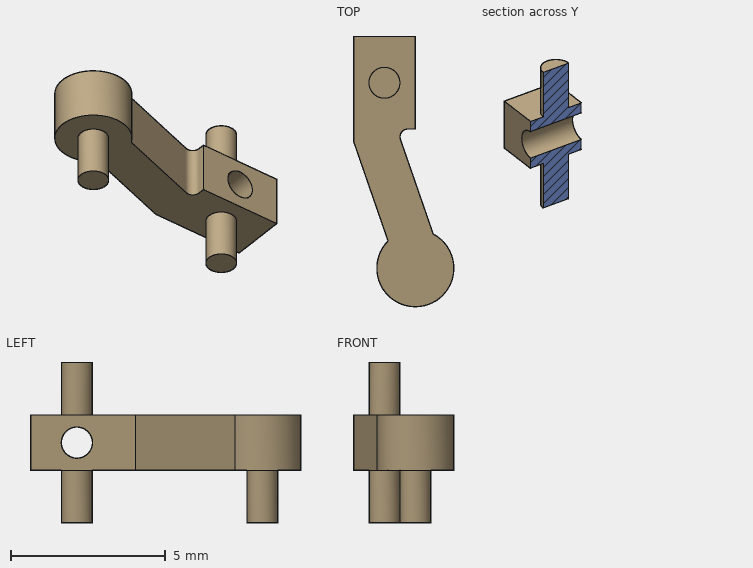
import cadquery as cq
import math

block_half_width = 1.0
block_half_length = 1.5
thickness = 1.8

disc_x = 1.0
disc_y = -6.0
disc_radius = 1.25

arm_tilt = math.radians(19.1)
bend_y = -1.9
arm_width = 1.46
relief_radius = 0.25

pin_diameter = 1.0
pin_projection = 1.7
hole_diameter = 1.0


def lever_body():
    """Block, arm and disc as one flat plate, centred on Z = 0."""
    slope = math.tan(arm_tilt)
    left_x = -block_half_width
    arm_left_end_x = left_x + (bend_y - disc_y) * slope
    arm_span_x = arm_width / math.cos(arm_tilt)
    corner_x = left_x + arm_span_x + (bend_y + block_half_length) * slope
    plate = (
        cq.Workplane("XY", origin=(0, 0, -thickness / 2))
        .moveTo(left_x, block_half_length)
        .lineTo(block_half_width, block_half_length)
        .lineTo(block_half_width, -block_half_length)
        .lineTo(corner_x, -block_half_length)
        .lineTo(arm_left_end_x + arm_span_x, disc_y)
        .lineTo(arm_left_end_x, disc_y)
        .lineTo(left_x, bend_y)
        .close()
        .extrude(thickness)
    )
    inner_corner = cq.selectors.NearestToPointSelector((corner_x, -block_half_length, 0))
    plate = plate.edges("|Z").edges(inner_corner).fillet(relief_radius)
    disc = (
        cq.Workplane("XY", origin=(disc_x, disc_y, -thickness / 2))
        .circle(disc_radius)
        .extrude(thickness)
    )
    return plate.union(disc)


def pin(x, y, bottom, top):
    """Round pin along Z between two heights."""
    return cq.Workplane("XY", origin=(x, y, bottom)).circle(pin_diameter / 2).extrude(top - bottom)


def cross_hole():
    """Cutter for the hole through the block and its pin, along X."""
    return (
        cq.Workplane("YZ", origin=(-block_half_width, 0, 0))
        .circle(hole_diameter / 2)
        .extrude(2 * block_half_width)
    )


pin_reach = thickness / 2 + pin_projection
block_pin = pin(0, 0, -pin_reach, pin_reach)
disc_pin = pin(disc_x, disc_y, -pin_reach, 0)

result = lever_body().union(block_pin).union(disc_pin).cut(cross_hole())